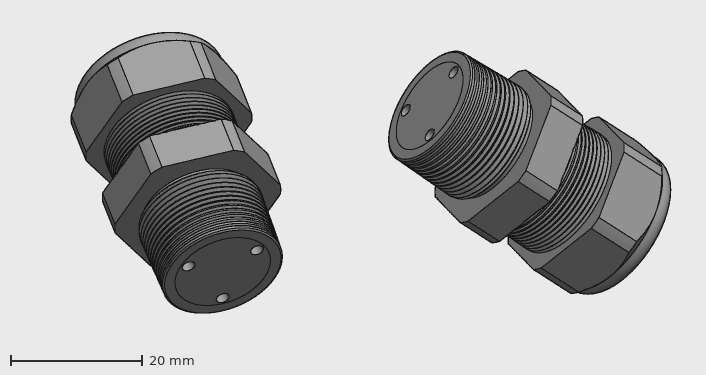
import cadquery as cq
import math

total_length = 39.88
AXIS_POINT = (0, 0, 0)
AXIS_DIRECTION = (1, 0, 0)

across_flats = 23.9
corner_radius = 13.25
cap_end = 11.9
body_hex_start = 20.38
body_hex_end = 26.88

cap_radius = 11.92
cap_fillet = 2.07
cap_round_end = 2.85

crest_taper = 1 / 32
rear_root_radius = 9.9
rear_crest_radius = 10.45
rear_first_root = 12.2
rear_last_root = 19.82
rear_root_count = 11
rear_flank_height = 0.55
entry_root_radius = 9.3
entry_crest_radius = 9.97
entry_first_root = 28.25
entry_last_root = total_length
entry_root_count = 14
entry_flank_height = 0.65

neck_radius = 9.0
neck_end = 27.05
first_crest_x = 27.9

insert_radius = 7.6
recess_radius = 7.35
recess_depth = 0.5
cable_hole_diameter = 2.05
cable_hole_circle_radius = 6.3
cable_hole_count = 3
first_hole_angle = -90.0


def rod(radius, start, end):
    """Solid cylinder on the X axis."""
    return cq.Workplane("YZ", origin=(start, 0, 0)).circle(radius).extrude(end - start)


def hexagon(start, end):
    """Hexagonal prism with flats facing +Z and -Z and its corners turned round."""
    across_corners = across_flats / math.cos(math.pi / 6)
    prism = (
        cq.Workplane("YZ", origin=(start, 0, 0))
        .polygon(6, across_corners)
        .extrude(end - start)
    )
    return prism.intersect(rod(corner_radius, start, end))


def root_positions(first_root, last_root, root_count):
    """Evenly spaced x places of the thread roots."""
    pitch = (last_root - first_root) / (root_count - 1)
    return [first_root + i * pitch for i in range(root_count)]


def flank_slope(roots, flank_height):
    """Radius gained per unit of length along a flank; flank_height is that of an uncut crest."""
    return 2 * flank_height / (roots[1] - roots[0])


def thread_outline(roots, root_radius, flank_height, cone_start, cone_radius):
    """Points (x, radius) from the first root to the last, with a crest between each two roots."""
    half_pitch = (roots[1] - roots[0]) / 2
    slope = flank_slope(roots, flank_height)
    points = [(roots[0], root_radius)]
    for root in roots[:-1]:
        middle = root + half_pitch
        crest_radius = cone_radius - crest_taper * (middle - cone_start)
        crest_height = min(crest_radius - root_radius, flank_height)
        half_flat = half_pitch - crest_height / slope
        crest = root_radius + crest_height
        if half_flat > 0:
            points.append((middle - half_flat, crest))
        points.append((middle + half_flat, crest))
        points.append((root + 2 * half_pitch, root_radius))
    return points


def make_cap():
    """Cap nut: hexagon with a 45 degree front chamfer and a rounded round nose."""
    chamfer_length = corner_radius - cap_radius
    envelope = (
        cq.Workplane("XY")
        .moveTo(cap_round_end, 0)
        .lineTo(cap_round_end, cap_radius)
        .lineTo(cap_round_end + chamfer_length, corner_radius)
        .lineTo(cap_end, corner_radius)
        .lineTo(cap_end, 0)
        .close()
        .revolve(360, AXIS_POINT, AXIS_DIRECTION)
    )
    nose = rod(cap_radius, 0, cap_round_end).faces("<X").edges().fillet(cap_fillet)
    return hexagon(cap_round_end, cap_end).intersect(envelope).union(nose)


def make_rear_thread():
    """Thread between the cap nut and the body hexagon."""
    roots = root_positions(rear_first_root, rear_last_root, rear_root_count)
    slope = flank_slope(roots, rear_flank_height)
    start_radius = rear_root_radius + slope * (rear_first_root - cap_end)
    end_crest_radius = rear_crest_radius - crest_taper * (body_hex_start - cap_end)
    end_crest_x = rear_last_root + (end_crest_radius - rear_root_radius) / slope
    outline = [(cap_end, 0), (cap_end, start_radius)]
    outline += thread_outline(roots, rear_root_radius, rear_flank_height, cap_end, rear_crest_radius)
    outline += [(end_crest_x, end_crest_radius), (body_hex_start, end_crest_radius), (body_hex_start, 0)]
    return cq.Workplane("XY").polyline(outline).close().revolve(360, AXIS_POINT, AXIS_DIRECTION)


def make_entry_thread():
    """Neck with a hollow run-out, and the thread that screws into the wall."""
    roots = root_positions(entry_first_root, entry_last_root, entry_root_count)
    slope = flank_slope(roots, entry_flank_height)
    first_crest_radius = entry_root_radius + slope * (entry_first_root - first_crest_x)
    outline = thread_outline(roots, entry_root_radius, entry_flank_height, body_hex_end, entry_crest_radius)
    profile = (
        cq.Workplane("XY")
        .moveTo(body_hex_end, 0)
        .lineTo(body_hex_end, neck_radius)
        .lineTo(neck_end, neck_radius)
        .tangentArcPoint((first_crest_x, first_crest_radius), relative=False)
    )
    for x, radius in outline:
        profile = profile.lineTo(x, radius)
    profile = profile.lineTo(total_length, 0).close()
    return profile.revolve(360, AXIS_POINT, AXIS_DIRECTION)


def make_housing():
    """Cap nut, body hexagon and both threads in one piece, with a bore for the insert."""
    outside = (
        make_cap()
        .union(make_rear_thread())
        .union(hexagon(body_hex_start, body_hex_end))
        .union(make_entry_thread())
    )
    return outside.cut(rod(insert_radius, 0, total_length))


def make_insert():
    """Seal insert filling the bore, with a shallow front recess and cable holes right through."""
    insert = rod(insert_radius, 0, total_length).cut(rod(recess_radius, 0, recess_depth))
    cable_holes = (
        cq.Workplane("YZ")
        .polarArray(cable_hole_circle_radius, first_hole_angle, 360, cable_hole_count)
        .circle(cable_hole_diameter / 2)
        .extrude(total_length)
    )
    return insert.cut(cable_holes)


housing = make_housing()
insert = make_insert()
result = cq.Compound.makeCompound([housing.val(), insert.val()])